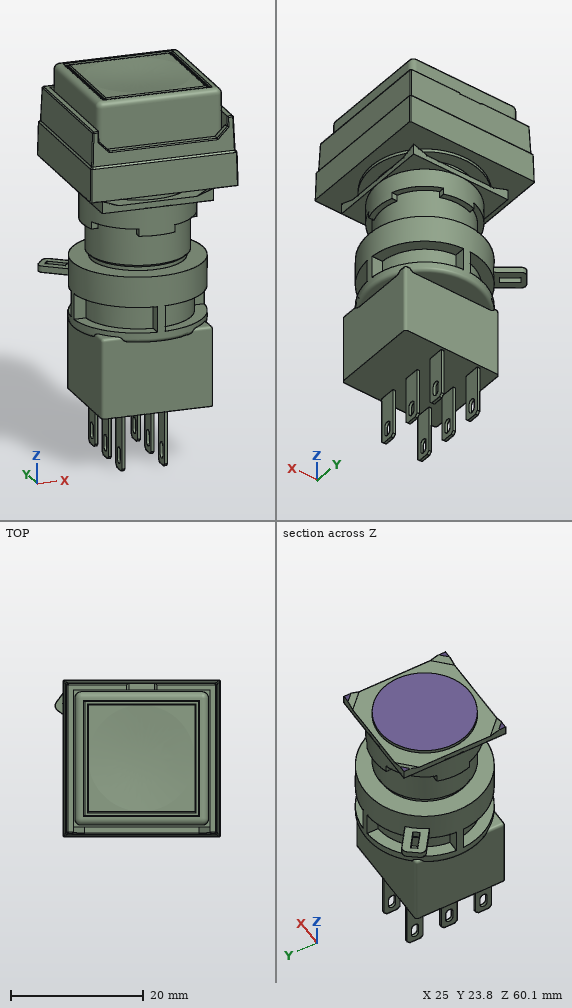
import cadquery as cq
import math


OVERALL_HEIGHT = 60.1
OVERLAP = 0.6

BEZEL_SIZE = 23.8
BEZEL_LOWER_TOP_SIZE = 23.55
BEZEL_LOWER_TOP = 5.3
GUARD_BOTTOM = 5.6
GUARD_SIZE = 23.1
GUARD_TOP_SIZE = 22.65
GUARD_TOP = 11.05
GUARD_CHAMFER = 0.2
BEZEL_CORNER_CHAMFER = 0.2

CAP_SIZE = 20.2
CAP_TOP = 15.15
CAP_RADIUS = 0.95
CAP_GAP = 0.25
WELL_SIZE = CAP_SIZE + 2 * CAP_GAP
WELL_FLOOR = GUARD_BOTTOM

FRONT_NOTCH_FLOOR = 7.75
FRONT_NOTCH_FLOOR_WIDTH = 17.3
BACK_NOTCH_WIDTH = 4.55
BACK_NOTCH_DEPTH = 0.35

LENS_SIZE = 16.1
GROOVE_OUTER_SIZE = 17.55
GROOVE_DEPTH = 0.35
GROOVE_CHAMFER = 0.2
DISH_RADIUS = LENS_SIZE / 2
DISH_DEPTH = 0.4

GASKET_RADIUS = 10.1
GASKET_THICKNESS = 0.55
BARREL_RADIUS = 8.0
NECK_RADIUS = 7.45
NECK_TOP = -12.9
BARREL_CHAMFER_HEIGHT = 0.4

NUT_RADIUS = 8.95
NUT_TOP = -2.05
NUT_CORNER_TOP = -1.1
NUT_PLATE_BOTTOM = -3.0
NUT_BOTTOM = -7.5
NUT_LUG_HEIGHT = 1.15
NUT_LUG_WIDTH = 5.75
NUT_BEND_HALF_LENGTH = 6.25

COLLAR_RADIUS = 10.5
COLLAR_TOP = -13.5
COLLAR_BOTTOM = -24.1
COLLAR_FILLET = 0.6
COLLAR_CORE_RADIUS = 8.6
WINDOW_TOP = -18.4
WINDOW_BOTTOM = -22.5
COLLAR_POST_WIDTH = 1.25

LEVER_ANGLE = 143.0
LEVER_REACH = 15.45
LEVER_WIDTH = 3.7
LEVER_TOP = -16.3
LEVER_THICKNESS = 1.0
LEVER_CORNER_RADIUS = 0.9
LEVER_SLOT_LENGTH = 3.25
LEVER_SLOT_WIDTH = 1.1
LEVER_SLOT_MARGIN = 0.9

HOUSING_WIDTH = 17.9
HOUSING_DEPTH = 15.75
HOUSING_Y = -1.0
HOUSING_TOP = -23.25
HOUSING_BOTTOM = -36.0
HOUSING_FILLET = 0.5

TERMINAL_ROWS_X = (-5.35, 1.5)
TERMINAL_PITCH = 6.0
TERMINALS_PER_ROW = 3
TERMINAL_THICKNESS = 0.5
TERMINAL_WIDTH = 2.8
TERMINAL_TIP = CAP_TOP - OVERALL_HEIGHT
TERMINAL_CHAMFER = 0.5
EYE_LENGTH = 2.6
EYE_WIDTH = 1.2
EYE_MARGIN = 0.95


def square_block(size, bottom, top):
    return cq.Workplane("XY").workplane(offset=bottom).rect(size, size).extrude(top - bottom)


def cylinder(radius, bottom, top):
    return cq.Workplane("XY").workplane(offset=bottom).circle(radius).extrude(top - bottom)


def drafted_block(bottom_size, bottom, top_size, top):
    return (
        cq.Workplane("XY").workplane(offset=bottom).rect(bottom_size, bottom_size)
        .workplane(offset=top - bottom).rect(top_size, top_size).loft(combine=True)
    )


def frame_tier(bottom_size, bottom, top_size, top):
    """One drafted tier of the bezel, with its four upright edges chamfered."""
    tier = drafted_block(bottom_size, bottom, top_size, top)
    return tier.edges("not #Z").chamfer(BEZEL_CORNER_CHAMFER)


def make_guard():
    guard = frame_tier(GUARD_SIZE, GUARD_BOTTOM, GUARD_TOP_SIZE, GUARD_TOP)
    guard = guard.cut(square_block(WELL_SIZE, WELL_FLOOR, GUARD_TOP + OVERLAP)).cut(front_notch())
    wall_middle = (WELL_SIZE + GUARD_SIZE) / 4

    def on_outer_rim(edge):
        center = edge.Center()
        above_floor = edge.BoundingBox().zmin > GUARD_BOTTOM + OVERLAP
        return above_floor and max(abs(center.x), abs(center.y)) > wall_middle + GUARD_CHAMFER

    guard = guard.newObject([edge for edge in guard.edges().vals() if on_outer_rim(edge)])
    return guard.chamfer(GUARD_CHAMFER).cut(back_notch())


def make_bezel():
    lower = frame_tier(BEZEL_SIZE, 0, BEZEL_LOWER_TOP_SIZE, BEZEL_LOWER_TOP)
    ledge = frame_tier(BEZEL_LOWER_TOP_SIZE, BEZEL_LOWER_TOP, GUARD_SIZE, GUARD_BOTTOM)
    return lower.union(ledge).union(make_guard())


def front_notch():
    """Opening through the -Y guard wall, with 45-degree lower corners."""
    half_floor = FRONT_NOTCH_FLOOR_WIDTH / 2
    half_top = WELL_SIZE / 2
    slope_top = FRONT_NOTCH_FLOOR + half_top - half_floor
    return (
        cq.Workplane("XZ").moveTo(-half_floor, FRONT_NOTCH_FLOOR).lineTo(half_floor, FRONT_NOTCH_FLOOR)
        .lineTo(half_top, slope_top).lineTo(half_top, GUARD_TOP + OVERLAP)
        .lineTo(-half_top, GUARD_TOP + OVERLAP).lineTo(-half_top, slope_top).close()
        .extrude(BEZEL_SIZE / 2)
    )


def back_notch():
    """Shallow dip in the +Y guard wall, with 45-degree ends."""
    half_top = BACK_NOTCH_WIDTH / 2
    half_floor = half_top - BACK_NOTCH_DEPTH
    return (
        cq.Workplane("XZ").moveTo(-half_floor, GUARD_TOP - BACK_NOTCH_DEPTH)
        .lineTo(half_floor, GUARD_TOP - BACK_NOTCH_DEPTH).lineTo(half_top, GUARD_TOP)
        .lineTo(-half_top, GUARD_TOP).close()
        .extrude(-BEZEL_SIZE / 2)
    )


def make_cap():
    cap = square_block(CAP_SIZE, WELL_FLOOR, CAP_TOP)
    cap = cap.edges("|Z or >Z").fillet(CAP_RADIUS)
    groove_floor = CAP_TOP - GROOVE_DEPTH
    groove_wall_size = GROOVE_OUTER_SIZE - 2 * GROOVE_CHAMFER
    groove = square_block(groove_wall_size, groove_floor, CAP_TOP)
    groove_mouth = drafted_block(groove_wall_size, CAP_TOP - GROOVE_CHAMFER, GROOVE_OUTER_SIZE, CAP_TOP)
    groove = groove.union(groove_mouth)
    lens = square_block(LENS_SIZE + 2 * GROOVE_CHAMFER, groove_floor, CAP_TOP)
    lens = lens.faces(">Z").chamfer(GROOVE_CHAMFER)
    sphere_radius = (DISH_RADIUS ** 2 + DISH_DEPTH ** 2) / (2 * DISH_DEPTH)
    dish = cq.Workplane("XY").sphere(sphere_radius).translate((0, 0, CAP_TOP - DISH_DEPTH + sphere_radius))
    return cap.cut(groove).union(lens).cut(dish)


def make_barrel():
    gasket = cylinder(GASKET_RADIUS, -GASKET_THICKNESS, 0)
    barrel = (
        cq.Workplane("XZ").lineTo(BARREL_RADIUS, 0)
        .lineTo(BARREL_RADIUS, NECK_TOP + BARREL_CHAMFER_HEIGHT)
        .lineTo(NECK_RADIUS, NECK_TOP).lineTo(NECK_RADIUS, COLLAR_TOP).lineTo(0, COLLAR_TOP)
        .close().revolve(360, (0, 0, 0), (0, 1, 0))
    )
    return gasket.union(barrel)


def make_operator():
    return make_bezel().union(make_cap()).union(make_barrel())


def make_nut():
    plate = square_block(2 * NUT_RADIUS, NUT_PLATE_BOTTOM, NUT_TOP)
    bend_distance = (NUT_RADIUS + NUT_BEND_HALF_LENGTH) / math.sqrt(2)
    corner_distance = NUT_RADIUS * math.sqrt(2)
    ramp = (
        cq.Workplane("XZ").moveTo(bend_distance, NUT_PLATE_BOTTOM).lineTo(corner_distance, NUT_PLATE_BOTTOM)
        .lineTo(corner_distance, NUT_CORNER_TOP).lineTo(bend_distance, NUT_TOP).close()
        .extrude(NUT_RADIUS, both=True)
    )
    plate_column = square_block(2 * NUT_RADIUS, NUT_PLATE_BOTTOM, 0)
    for corner in range(4):
        turned = ramp.rotate((0, 0, 0), (0, 0, 1), 45 + 90 * corner)
        plate = plate.union(turned.intersect(plate_column))
    lug_root = NUT_BOTTOM + NUT_LUG_HEIGHT
    ring = cylinder(NUT_RADIUS, lug_root, NUT_PLATE_BOTTOM)
    lug_ring = cylinder(NUT_RADIUS, NUT_BOTTOM, lug_root)
    lug_cross = cq.Workplane("XY").workplane(offset=NUT_BOTTOM)
    lug_bars = lug_cross.rect(2 * NUT_RADIUS, NUT_LUG_WIDTH).extrude(NUT_LUG_HEIGHT)
    lug_bars = lug_bars.union(lug_cross.rect(NUT_LUG_WIDTH, 2 * NUT_RADIUS).extrude(NUT_LUG_HEIGHT))
    nut = plate.union(ring).union(lug_ring.intersect(lug_bars))
    return nut.cut(cylinder(BARREL_RADIUS, NUT_BOTTOM, 0))


def make_collar():
    collar = cylinder(COLLAR_RADIUS, COLLAR_BOTTOM, COLLAR_TOP).faces("<Z").edges().fillet(COLLAR_FILLET)
    window_height = WINDOW_TOP - WINDOW_BOTTOM
    posts = cq.Workplane("XY").workplane(offset=WINDOW_BOTTOM)
    solid_part = (
        posts.rect(2 * COLLAR_RADIUS, COLLAR_POST_WIDTH).extrude(window_height)
        .union(posts.rect(COLLAR_POST_WIDTH, 2 * COLLAR_RADIUS).extrude(window_height))
        .union(cylinder(COLLAR_CORE_RADIUS, WINDOW_BOTTOM, WINDOW_TOP))
    )
    windows = cylinder(COLLAR_RADIUS + OVERLAP, WINDOW_BOTTOM, WINDOW_TOP).cut(solid_part)
    return collar.cut(windows)


def make_lever():
    lever = (
        cq.Workplane("XY").workplane(offset=LEVER_TOP - LEVER_THICKNESS)
        .center(LEVER_REACH / 2, 0).rect(LEVER_REACH, LEVER_WIDTH).extrude(LEVER_THICKNESS)
        .edges("|Z and >X").fillet(LEVER_CORNER_RADIUS)
    )
    slot_x = LEVER_REACH - LEVER_SLOT_MARGIN - LEVER_SLOT_LENGTH / 2
    slot = (
        cq.Workplane("XY").workplane(offset=LEVER_TOP - LEVER_THICKNESS)
        .center(slot_x, 0).rect(LEVER_SLOT_LENGTH, LEVER_SLOT_WIDTH).extrude(LEVER_THICKNESS)
    )
    return lever.cut(slot).rotate((0, 0, 0), (0, 0, 1), LEVER_ANGLE)


def make_housing():
    return (
        cq.Workplane("XY").workplane(offset=HOUSING_BOTTOM).center(0, HOUSING_Y)
        .rect(HOUSING_WIDTH, HOUSING_DEPTH).extrude(HOUSING_TOP - HOUSING_BOTTOM)
        .edges("|Z or >Z").fillet(HOUSING_FILLET)
    )


def make_terminal(x, y):
    length = HOUSING_BOTTOM - TERMINAL_TIP
    blade = (
        cq.Workplane("XY").box(TERMINAL_THICKNESS, TERMINAL_WIDTH, length, centered=(True, True, False))
        .edges("|X and <Z").chamfer(TERMINAL_CHAMFER)
    )
    eye = (
        cq.Workplane("YZ").center(0, EYE_MARGIN + EYE_LENGTH / 2)
        .slot2D(EYE_LENGTH, EYE_WIDTH, 90).extrude(TERMINAL_THICKNESS, both=True)
    )
    return blade.cut(eye).translate((x, y, TERMINAL_TIP))


def make_contact_block():
    block = make_collar().union(make_lever()).union(make_housing())
    middle = (TERMINALS_PER_ROW - 1) / 2
    for x in TERMINAL_ROWS_X:
        for index in range(TERMINALS_PER_ROW):
            block = block.union(make_terminal(x, HOUSING_Y + (index - middle) * TERMINAL_PITCH))
    return block


operator = make_operator()
nut = make_nut()
contact_block = make_contact_block()

result = cq.Compound.makeCompound([operator.val(), nut.val(), contact_block.val()])